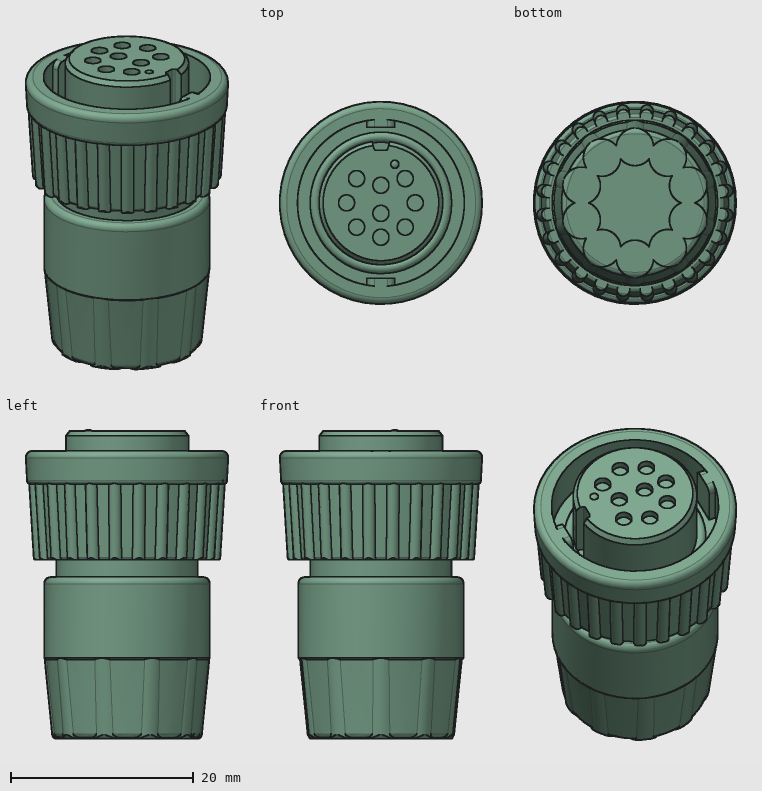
import cadquery as cq
import math

height = 33.88
grip_bottom_z = 0.15
body_bottom_z = 8.88
body_top_z = 17.75
ring_bottom_z = 19.6
socket_floor_z = 26.2
lip_bottom_z = 28.35
ring_top_z = 31.58
marker_rise = 0.15
insert_top_z = height - marker_rise

grip_low_r = 8.0
grip_high_r = 8.88
grip_edge_r = 0.5
grip_step = 0.17
grip_ribs = 10
grip_rib_rise = 0.17
grip_rib_half_width = 0.8

body_r = 9.08
body_edge_r = 0.75
neck_r = 7.75

ring_r = 11.15
ring_edge_r = 0.75
lip_bottom_r = 10.98
lip_under_r = 0.47
ring_cone_low_r = 9.72
ring_cone_high_r = 10.25
ring_bottom_edge_r = 0.35
ring_ribs = 24
ring_rib_rise = 0.58
ring_rib_half_width = 0.68
socket_r = 9.15

key_half_width = 1.52
key_inner_y = 8.25
key_round_r = 0.8

insert_r = 6.78
insert_chamfer_width = 0.45
insert_chamfer_height = 0.55
contact_circle_r = 3.75
contact_angles = (-135, -90, -45, 0, 45, 135, 180)
inner_contact_ys = (1.93, -1.15)
contact_hole_r = 0.88
contact_hole_depth = 0.85
keyway_floor_y = 5.75
keyway_outer_half_width = 0.98
keyway_inner_half_width = 0.7
keyway_corner_r = 0.27
marker_x = 1.52
marker_y = 4.25
marker_r = 0.45

collar_inner_r = 6.65
collar_round_r = (neck_r - collar_inner_r) / 2

lip_cone_top_z = lip_bottom_z - lip_under_r
diagonal = math.sqrt(0.5)
crest_clearance = 0.007


def cylinder(radius, low_z, high_z):
    return cq.Workplane("XY").workplane(offset=low_z).circle(radius).extrude(high_z - low_z)


def revolve(profile):
    """Turn a closed (radius, z) profile about the Z axis."""
    return profile.close().revolve(360, (0, 0, 0), (0, 1, 0))


def cone(low_r, low_z, high_r, high_z, edge_r):
    """Cone with a rounded bottom edge."""
    profile = cq.Workplane("XZ").moveTo(0, low_z).lineTo(low_r, low_z)
    profile = profile.lineTo(high_r, high_z).lineTo(0, high_z)
    return revolve(profile).faces("<Z").edges().fillet(edge_r)


def cone_ribs(count, first_angle, half_width, rise, low_r, low_z, high_r, high_z, edge_r):
    """Round ribs lying along a cone, rounded off at their lower ends."""
    round_r = (half_width**2 + rise**2) / (2 * rise)
    slope = (high_r - low_r) / (high_z - low_z)
    axis_depth = round_r * math.hypot(1, slope) - rise
    start_z = low_z - round_r
    start = cq.Vector(low_r - axis_depth - slope * round_r, 0, start_z)
    direction = cq.Vector(slope, 0, 1)
    length = (high_z - start_z + round_r) * direction.Length
    envelope_rise = rise + crest_clearance
    bar = cq.Workplane(cq.Solid.makeCylinder(round_r, length, start, direction))
    bar = bar.intersect(cone(low_r + envelope_rise, low_z, high_r + envelope_rise, high_z, edge_r))
    ribs = cq.Workplane("XY")
    for index in range(count):
        angle = first_angle + index * 360 / count
        ribs = ribs.add(bar.rotate((0, 0, 0), (0, 0, 1), angle))
    return ribs.vals()


def fuse(base, solids):
    for solid in solids:
        base = base.union(cq.Workplane(solid))
    return base


def grip():
    cone_top_z = body_bottom_z - grip_step
    base = cone(grip_low_r, grip_bottom_z, grip_high_r, cone_top_z, grip_edge_r)
    step = revolve(
        cq.Workplane("XZ").moveTo(0, cone_top_z).lineTo(grip_high_r, cone_top_z)
        .lineTo(body_r, body_bottom_z).lineTo(0, body_bottom_z)
    )
    ribs = cone_ribs(
        grip_ribs, -90, grip_rib_half_width, grip_rib_rise,
        grip_low_r, 0, grip_high_r, body_bottom_z, grip_edge_r + grip_bottom_z,
    )
    return fuse(base.union(step), ribs)


def body():
    shell = cylinder(body_r, body_bottom_z, body_top_z).faces(">Z").edges().fillet(body_edge_r)
    return shell.union(cylinder(neck_r, body_top_z, ring_bottom_z))


def coupling_ring():
    base = cone(ring_cone_low_r, ring_bottom_z, ring_cone_high_r, lip_cone_top_z, ring_bottom_edge_r)
    lip = revolve(
        cq.Workplane("XZ").moveTo(0, lip_cone_top_z)
        .lineTo(lip_bottom_r - lip_under_r, lip_cone_top_z)
        .threePointArc(
            (lip_bottom_r - lip_under_r * (1 - diagonal), lip_bottom_z - lip_under_r * diagonal),
            (lip_bottom_r, lip_bottom_z),
        )
        .lineTo(ring_r, ring_top_z).lineTo(0, ring_top_z)
    )
    lip = lip.faces(">Z").edges().fillet(ring_edge_r)
    ribs = cone_ribs(
        ring_ribs, 180 / ring_ribs, ring_rib_half_width, ring_rib_rise,
        ring_cone_low_r, ring_bottom_z, ring_cone_high_r, lip_bottom_z, ring_bottom_edge_r,
    )
    ring = fuse(base.union(lip), ribs)
    return ring.cut(cylinder(socket_r, socket_floor_z, ring_top_z))


def bayonet_keys():
    """Two opposed keys on the socket wall, rounded along their upper side edges."""
    wall_y = (socket_r + ring_r - ring_edge_r) / 2
    key = (
        cq.Workplane("XY").workplane(offset=socket_floor_z)
        .center(0, (key_inner_y + wall_y) / 2)
        .rect(2 * key_half_width, wall_y - key_inner_y)
        .extrude(ring_top_z - socket_floor_z)
    )
    key = key.faces(">Z").edges("|Y").fillet(key_round_r)
    key = key.intersect(cylinder(wall_y, socket_floor_z, ring_top_z))
    return key.union(key.mirror("XZ"))


def collar():
    """Half-round bead around the foot of the insert."""
    return revolve(
        cq.Workplane("XZ").moveTo(collar_inner_r, socket_floor_z)
        .threePointArc(
            (collar_inner_r + collar_round_r, socket_floor_z + collar_round_r),
            (neck_r, socket_floor_z),
        )
    )


def contact_insert():
    insert = cylinder(insert_r, socket_floor_z, insert_top_z)
    insert = insert.faces(">Z").edges().chamfer(insert_chamfer_height, insert_chamfer_width)
    ring_points = [
        (contact_circle_r * math.cos(math.radians(a)), contact_circle_r * math.sin(math.radians(a)))
        for a in contact_angles
    ]
    inner_points = [(0, y) for y in inner_contact_ys]
    holes = (
        cq.Workplane("XY").workplane(offset=insert_top_z)
        .pushPoints(ring_points + inner_points).circle(contact_hole_r).extrude(-contact_hole_depth)
    )
    keyway = (
        cq.Workplane("XY").workplane(offset=socket_floor_z)
        .moveTo(-keyway_outer_half_width, insert_r).lineTo(-keyway_inner_half_width, keyway_floor_y)
        .lineTo(keyway_inner_half_width, keyway_floor_y).lineTo(keyway_outer_half_width, insert_r)
        .close().extrude(insert_top_z - socket_floor_z)
        .edges("|Z and <Y").fillet(keyway_corner_r)
    )
    return insert.cut(holes).cut(keyway)


def marker_dot():
    """Shallow dome marking one contact on the insert face."""
    dome_r = (marker_r**2 + marker_rise**2) / (2 * marker_rise)
    dome = cq.Workplane("XY").sphere(dome_r).translate((marker_x, marker_y, height - dome_r))
    return dome.intersect(cylinder(insert_r, insert_top_z - marker_rise, height))


result = grip().union(body()).union(coupling_ring()).union(bayonet_keys())
result = result.union(collar()).union(contact_insert()).union(marker_dot())